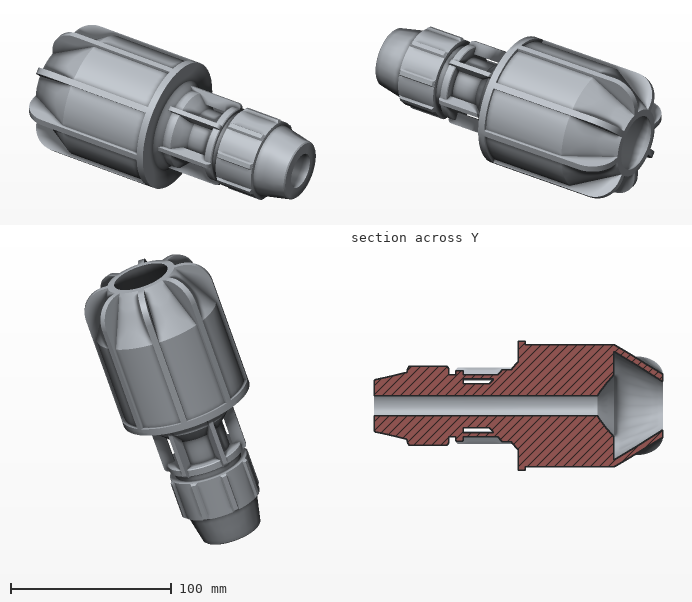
import cadquery as cq

LENGTH = 180.0

FACE_RADIUS = 22.0
HANDLE_RADIUS = 39.5
HANDLE_CONE_END = 30.5
FLANGE_RADIUS = 83.0 / 2
FLANGE_START = 85.7
FLANGE_END = 90.2

FIN_COUNT = 8
FIN_WIDTH = 4.0
FIN_CORNER_RADIUS = 16.4
FIN_FLAT_END = 83.2

SHOULDER_ROOT_RADIUS = 29.3
SHOULDER_RADIUS = 24.7
SHOULDER_START = 94.5
SHOULDER_END = 99.9
STEM_RADIUS = 17.0
STEM_START = 108.0

COLLAR_RADIUS = 24.1
COLLAR_START = 124.2
COLLAR_END = 129.2
COLLAR_CHAMFER = 0.5
NECK_RADIUS = 21.6

BAR_COUNT = 6
BAR_WIDTH = 2.9
BAR_INNER_RADIUS = 19.0
BAR_OUTER_RADIUS = 26.8
BAR_START = 92.2
BAR_CORNER_RADIUS = 2.5

NUT_RADIUS = 25.2
NUT_START = 133.4
NUT_END = 159.1
RIDGE_COUNT = 8
RIDGE_TOP_RADIUS = 26.6
RIDGE_BASE_RADIUS = 25.0
RIDGE_BASE_WIDTH = 4.7
RIDGE_TOP_WIDTH = 2.9
RIDGE_END_SLOPE = 1.0

END_CONE_START = 159.7
END_CONE_LARGE_RADIUS = 23.0
END_CONE_SMALL_RADIUS = 38.0 / 2
END_CHAMFER = 0.7

MOUTH_RADIUS = 35.1 / 2
CAVITY_RADIUS = 35.0
CAVITY_DEPTH = HANDLE_CONE_END
THROAT_RADIUS = 21.6
BORE_RADIUS = 22.5 / 2
THROAT_LENGTH = THROAT_RADIUS - BORE_RADIUS


def revolve_about_x(points):
    """Solid of revolution from (x, radius) points that start and end on the axis."""
    return cq.Workplane("XY").polyline(points).close().revolve(360, (0, 0, 0), (1, 0, 0))


def add_around_x(body, feature, count, first_angle=0.0):
    """Body joined with equally spaced copies of a feature around the X axis."""
    for index in range(count):
        angle = first_angle + index * 360 / count
        body = body.union(feature.rotate((0, 0, 0), (1, 0, 0), angle))
    return body


def make_core():
    """All round outer surfaces, from the handle face to the tip of the end cone."""
    return revolve_about_x([
        (0, 0),
        (0, FACE_RADIUS),
        (HANDLE_CONE_END, HANDLE_RADIUS),
        (FLANGE_START, HANDLE_RADIUS),
        (FLANGE_START, FLANGE_RADIUS),
        (FLANGE_END, FLANGE_RADIUS),
        (FLANGE_END, SHOULDER_ROOT_RADIUS),
        (SHOULDER_START, SHOULDER_RADIUS),
        (SHOULDER_END, SHOULDER_RADIUS),
        (STEM_START, STEM_RADIUS),
        (COLLAR_START, STEM_RADIUS),
        (COLLAR_START, COLLAR_RADIUS - COLLAR_CHAMFER),
        (COLLAR_START + COLLAR_CHAMFER, COLLAR_RADIUS),
        (COLLAR_END - COLLAR_CHAMFER, COLLAR_RADIUS),
        (COLLAR_END, COLLAR_RADIUS - COLLAR_CHAMFER),
        (COLLAR_END, NECK_RADIUS),
        (NUT_START, NECK_RADIUS),
        (NUT_START, NUT_RADIUS),
        (NUT_END, NUT_RADIUS),
        (END_CONE_START, END_CONE_LARGE_RADIUS),
        (LENGTH - END_CHAMFER, END_CONE_SMALL_RADIUS),
        (LENGTH, END_CONE_SMALL_RADIUS - END_CHAMFER),
        (LENGTH, 0),
    ])


def make_fin():
    """Grip fin on +Z with a rounded front corner; its rear end curves with the flange rim."""
    flat_part = (
        cq.Workplane("XZ")
        .moveTo(0, MOUTH_RADIUS)
        .lineTo(0, FLANGE_RADIUS - FIN_CORNER_RADIUS)
        .radiusArc((FIN_CORNER_RADIUS, FLANGE_RADIUS), FIN_CORNER_RADIUS)
        .lineTo(FIN_FLAT_END, FLANGE_RADIUS)
        .lineTo(FIN_FLAT_END, MOUTH_RADIUS)
        .close()
        .extrude(FIN_WIDTH / 2, both=True)
    )
    rim_length = FLANGE_START - FIN_FLAT_END
    rim_disc = cq.Workplane("YZ", origin=(FIN_FLAT_END, 0, 0)).circle(FLANGE_RADIUS).extrude(rim_length)
    rear_block = (
        cq.Workplane("XY", origin=(FIN_FLAT_END, 0, MOUTH_RADIUS))
        .box(rim_length, FIN_WIDTH, FLANGE_RADIUS, centered=(False, True, False))
    )
    return flat_part.union(rear_block.intersect(rim_disc))


def make_bar():
    """Flat bar on +Y, from the shoulder cone to the collar, with a rounded outer end."""
    return (
        cq.Workplane("XY")
        .moveTo(BAR_START, BAR_INNER_RADIUS)
        .lineTo(BAR_START, BAR_OUTER_RADIUS)
        .lineTo(COLLAR_END - BAR_CORNER_RADIUS, BAR_OUTER_RADIUS)
        .radiusArc((COLLAR_END, BAR_OUTER_RADIUS - BAR_CORNER_RADIUS), BAR_CORNER_RADIUS)
        .lineTo(COLLAR_END, BAR_INNER_RADIUS)
        .close()
        .extrude(BAR_WIDTH / 2, both=True)
    )


def make_ridge():
    """Nut ridge on +Z, narrowing on all four sides towards its top."""
    length = NUT_END - NUT_START
    return (
        cq.Workplane("XY", origin=((NUT_START + NUT_END) / 2, 0, RIDGE_BASE_RADIUS))
        .rect(length, RIDGE_BASE_WIDTH)
        .workplane(offset=RIDGE_TOP_RADIUS - RIDGE_BASE_RADIUS)
        .rect(length - 2 * RIDGE_END_SLOPE, RIDGE_TOP_WIDTH)
        .loft(ruled=True)
    )


def make_bore():
    """Cavity widening inwards from the mouth to a flat floor, then throat and through bore."""
    return revolve_about_x([
        (0, 0),
        (0, MOUTH_RADIUS),
        (CAVITY_DEPTH, CAVITY_RADIUS),
        (CAVITY_DEPTH, THROAT_RADIUS),
        (CAVITY_DEPTH + THROAT_LENGTH, BORE_RADIUS),
        (LENGTH, BORE_RADIUS),
        (LENGTH, 0),
    ])


result = make_core()
result = add_around_x(result, make_fin(), FIN_COUNT)
result = add_around_x(result, make_bar(), BAR_COUNT)
result = add_around_x(result, make_ridge(), RIDGE_COUNT, 180 / RIDGE_COUNT)
result = result.cut(make_bore())